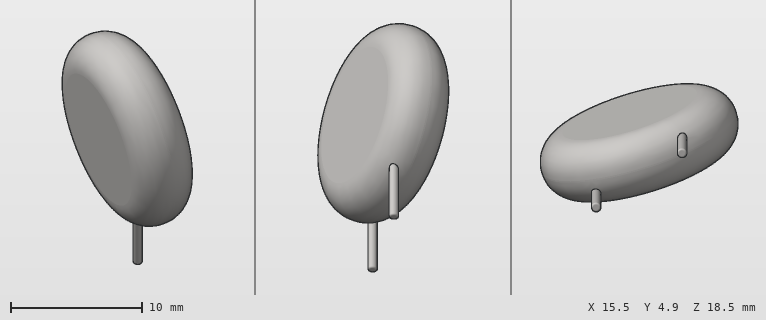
import cadquery as cq

disc_diameter = 15.5
disc_thickness = 4.9
rim_band_width = 0.12
edge_radius = (disc_thickness - rim_band_width) / 2

lead_diameter = 0.72
lead_pitch_x = 7.5
lead_pitch_y = 2.2
lead_tip_round = lead_diameter / 5
overall_height = 18.53
lead_bottom_z = disc_diameter / 2 - overall_height
lead_top_z = -disc_diameter / 4


def make_disc():
    """Flat round disc with both edges fully rounded but for the rim band."""
    disc = cq.Workplane("XZ").circle(disc_diameter / 2).extrude(disc_thickness / 2, both=True)
    return disc.edges("%CIRCLE").fillet(edge_radius)


def make_lead(x, y):
    """Straight round wire with a rounded lower tip."""
    lead = (
        cq.Workplane("XY", origin=(x, y, lead_bottom_z))
        .circle(lead_diameter / 2)
        .extrude(lead_top_z - lead_bottom_z)
    )
    return lead.faces("<Z").edges().fillet(lead_tip_round)


result = make_disc()
for side in (-1, 1):
    result = result.union(make_lead(side * lead_pitch_x / 2, -side * lead_pitch_y / 2))